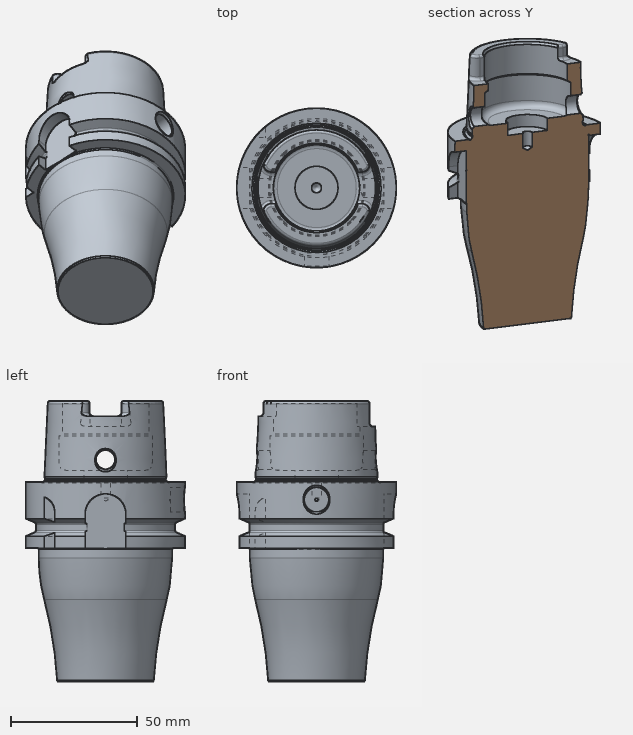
import cadquery as cq
import math


shank_length = 32.0
taper_base_radius = 24.15
taper_top_radius = 22.85
taper_base_z = 2.0
rim_fillet = 1.1

relief_neck_radius = 23.9
relief_neck_top_z = 1.3
relief_neck_bottom_z = 0.75
relief_bottom_radius = 24.8
relief_depth = 0.4
relief_outer_radius = 25.5

flange_radius = 31.5
flange_width = 26.1
groove_top_z = -14.45
groove_width = 6.95
groove_floor_radius = 27.5
groove_flank_angle = 24.0
groove_fillet = 0.8

nose_radius = 26.4
nose_root_fillet = 0.5
nose_straight_end_z = -29.9
nose_bend_radius = 24.25
nose_bend_z = -46.3
nose_tip_radius = 19.15
nose_end_z = -78.9
nose_chamfer_height = 0.7
nose_chamfer_width = 0.4

bore_radius = 17.0
bore_mouth_radius = 17.65
bore_mouth_depth = 1.0
clamp_shoulder_depth = 13.0
clamp_radius = 18.5
clamp_angle = 60.0
bore_depth = 27.3
bore_floor_fillet = 2.9

recess_radius = 8.5
recess_depth = 5.0
centre_hole_radius = 1.95
centre_hole_depth = 6.0
drill_point_angle = 118.0

notch_half_width = 6.26
notch_round_start = 17.95
notch_round_radius = 3.0
notch_depth_left = 6.0
notch_depth_right = 10.1
notch_floor_fillet = 1.4

cross_hole_radius = 3.75
cross_hole_mouth_radius = 4.6
cross_hole_depth = 23.2

keyway_half_width = 8.05
keyway_floor = 26.5
keyway_top_z = -4.7
orientation_floor = 20.2
orientation_wall_y = 20.05
orientation_cutter_radius = 6.2
orientation_centre_z = -11.8

chip_hole_radius = 4.85
chip_hole_mouth_radius = 5.7
chip_hole_z = -7.0
chip_hole_depth = 6.0
chip_dimple_radius = 0.6

clearance = 5.0
keyway_bottom_z = -flange_width - clearance


def revolve_about_z(profile):
    """Turn a closed YZ profile, drawn as (radius, z), a full turn about Z."""
    return profile.close().revolve(360, (0, 0, 0), (0, 1, 0))


def turned_body():
    """Outer shape of the holder, solid."""
    root_mid = nose_root_fillet * (1 - math.sqrt(0.5))
    return revolve_about_z(
        cq.Workplane("YZ")
        .moveTo(0, shank_length)
        .lineTo(taper_top_radius - rim_fillet, shank_length)
        .tangentArcPoint((taper_top_radius, shank_length - rim_fillet), relative=False)
        .lineTo(taper_base_radius, taper_base_z)
        .lineTo(relief_neck_radius, relief_neck_top_z)
        .lineTo(relief_neck_radius, relief_neck_bottom_z)
        .lineTo(relief_bottom_radius, -relief_depth)
        .lineTo(relief_outer_radius, 0)
        .lineTo(flange_radius, 0)
        .lineTo(flange_radius, -flange_width)
        .lineTo(nose_radius + nose_root_fillet, -flange_width)
        .threePointArc(
            (nose_radius + root_mid, -flange_width - root_mid),
            (nose_radius, -flange_width - nose_root_fillet),
        )
        .lineTo(nose_radius, nose_straight_end_z)
        .tangentArcPoint((nose_bend_radius, nose_bend_z), relative=False)
        .tangentArcPoint((nose_tip_radius, nose_end_z + nose_chamfer_height), relative=False)
        .lineTo(nose_tip_radius - nose_chamfer_width, nose_end_z)
        .lineTo(0, nose_end_z)
    )


def gripper_groove():
    """Ring with sloping flanks and rounded floor corners, cut into the flange."""
    flank_height = (flange_radius - groove_floor_radius) * math.tan(math.radians(groove_flank_angle))
    groove_bottom_z = groove_top_z - groove_width
    outer_radius = flange_radius + clearance
    ring = revolve_about_z(
        cq.Workplane("YZ")
        .moveTo(outer_radius, groove_top_z)
        .lineTo(flange_radius, groove_top_z)
        .lineTo(groove_floor_radius, groove_top_z - flank_height)
        .lineTo(groove_floor_radius, groove_bottom_z + flank_height)
        .lineTo(flange_radius, groove_bottom_z)
        .lineTo(outer_radius, groove_bottom_z)
    )
    floor_edges = cq.selectors.RadiusNthSelector(0)
    return ring.edges("%CIRCLE").edges(floor_edges).fillet(groove_fillet)


def notch_cutter(depth):
    """Drive notch on the +X side: flared plan outline with a rounded floor."""
    flare_x = notch_round_start + notch_round_radius
    flare_y = notch_half_width + notch_round_radius
    round_chord = notch_round_radius * math.sqrt(0.5)
    round_mid = (notch_round_start + round_chord, flare_y - round_chord)
    outer_x = flare_x + 2 * clearance
    outer_y = flare_y + clearance
    floor_z = shank_length - depth
    outline = (
        cq.Workplane("XY", origin=(0, 0, floor_z))
        .moveTo(0, -notch_half_width)
        .lineTo(notch_round_start, -notch_half_width)
        .threePointArc((round_mid[0], -round_mid[1]), (flare_x, -flare_y))
        .lineTo(flare_x, -outer_y)
        .lineTo(outer_x, -outer_y)
        .lineTo(outer_x, outer_y)
        .lineTo(flare_x, outer_y)
        .lineTo(flare_x, flare_y)
        .threePointArc(round_mid, (notch_round_start, notch_half_width))
        .lineTo(0, notch_half_width)
        .close()
    )
    wall_side = cq.selectors.BoxSelector(
        (clearance, -outer_y, floor_z - 1), (flare_x + 1, outer_y, floor_z + 1)
    )
    cutter = outline.extrude(depth + clearance)
    return cutter.faces("<Z").edges(wall_side).fillet(notch_floor_fillet)


def notched_envelope():
    """Block around the whole holder with both drive notches, their upper wall edges rounded."""
    side = 3 * flange_radius
    flare = notch_round_start + 2 * notch_round_radius
    block = cq.Workplane("XY", origin=(0, 0, nose_end_z)).rect(side, side).extrude(shank_length - nose_end_z)
    block = block.cut(notch_cutter(notch_depth_right)).cut(opposite(notch_cutter(notch_depth_left)))
    wall_tops = cq.selectors.BoxSelector(
        (-flare, -flange_radius, shank_length - rim_fillet),
        (flare, flange_radius, shank_length + rim_fillet),
    )
    return block.faces(">Z").edges(wall_tops).fillet(rim_fillet)


def clamping_bore():
    """Stepped bore with a clamping shoulder and a rounded floor."""
    clamp_height = (clamp_radius - bore_radius) / math.tan(math.radians(clamp_angle))
    floor_z = shank_length - bore_depth
    shoulder_z = shank_length - clamp_shoulder_depth
    fillet_mid = bore_floor_fillet * (1 - math.sqrt(0.5))
    return revolve_about_z(
        cq.Workplane("YZ")
        .moveTo(0, shank_length)
        .lineTo(bore_mouth_radius, shank_length)
        .lineTo(bore_radius, shank_length - bore_mouth_depth)
        .lineTo(bore_radius, shoulder_z)
        .lineTo(clamp_radius, shoulder_z - clamp_height)
        .lineTo(clamp_radius, floor_z + bore_floor_fillet)
        .threePointArc(
            (clamp_radius - fillet_mid, floor_z + fillet_mid),
            (clamp_radius - bore_floor_fillet, floor_z),
        )
        .lineTo(0, floor_z)
    )


def centre_recess():
    """Round recess in the bore floor with a drilled hole at its centre."""
    top_z = shank_length - bore_depth
    recess_z = top_z - recess_depth
    hole_z = recess_z - centre_hole_depth
    point_height = centre_hole_radius / math.tan(math.radians(drill_point_angle / 2))
    return revolve_about_z(
        cq.Workplane("YZ")
        .moveTo(0, top_z)
        .lineTo(recess_radius, top_z)
        .lineTo(recess_radius, recess_z)
        .lineTo(centre_hole_radius, recess_z)
        .lineTo(centre_hole_radius, hole_z)
        .lineTo(0, hole_z - point_height)
    )


def cone_mouth(surface_radius, hole_radius, mouth_radius):
    """45 degree countersink along +X that opens to mouth_radius at surface_radius."""
    extra = mouth_radius - hole_radius
    cone = cq.Solid.makeCone(
        hole_radius,
        mouth_radius + extra,
        2 * extra,
        pnt=cq.Vector(surface_radius - extra, 0, 0),
        dir=cq.Vector(1, 0, 0),
    )
    return cq.Workplane(obj=cone)


def cross_holes():
    """Hole through both shank walls along X, countersunk on the outside."""
    z = shank_length - cross_hole_depth
    taper_rise = (z - taper_base_z) / (shank_length - taper_base_z)
    shank_radius = taper_base_radius + (taper_top_radius - taper_base_radius) * taper_rise
    hole = cq.Workplane("YZ").circle(cross_hole_radius).extrude(flange_radius, both=True)
    mouth = cone_mouth(shank_radius, cross_hole_radius, cross_hole_mouth_radius)
    return hole.union(mouth).union(opposite(mouth)).translate((0, 0, z))


def keyway_cutter():
    """Keyway on the +X side: flat floor, round top end, open below the flange."""
    centre_z = keyway_top_z - keyway_half_width
    return (
        cq.Workplane("YZ", origin=(keyway_floor, 0, 0))
        .moveTo(-keyway_half_width, keyway_bottom_z)
        .lineTo(-keyway_half_width, centre_z)
        .threePointArc((0, keyway_top_z), (keyway_half_width, centre_z))
        .lineTo(keyway_half_width, keyway_bottom_z)
        .close()
        .extrude(flange_radius)
    )


def orientation_cutter():
    """Corner notch between -X and +Y: flat floor, round top end, open below the flange."""
    start_y = orientation_wall_y
    end_y = orientation_wall_y + 2 * orientation_cutter_radius
    mid = (orientation_wall_y + orientation_cutter_radius, orientation_centre_z + orientation_cutter_radius)
    return (
        cq.Workplane("YZ", origin=(-orientation_floor, 0, 0))
        .moveTo(start_y, keyway_bottom_z)
        .lineTo(start_y, orientation_centre_z)
        .threePointArc(mid, (end_y, orientation_centre_z))
        .lineTo(end_y, keyway_bottom_z)
        .close()
        .extrude(-flange_radius)
    )


def chip_hole():
    """Blind data chip hole on the -Y side with a countersunk mouth and a small drill dimple."""
    floor_x = flange_radius - chip_hole_depth
    hole = cq.Workplane("YZ", origin=(floor_x, 0, 0)).circle(chip_hole_radius).extrude(2 * chip_hole_depth)
    dimple_depth = chip_dimple_radius / math.tan(math.radians(drill_point_angle / 2))
    dimple = cq.Workplane(
        obj=cq.Solid.makeCone(
            0,
            chip_dimple_radius,
            dimple_depth,
            pnt=cq.Vector(floor_x - dimple_depth, 0, 0),
            dir=cq.Vector(1, 0, 0),
        )
    )
    mouth = cone_mouth(flange_radius, chip_hole_radius, chip_hole_mouth_radius)
    cutter = hole.union(dimple).union(mouth)
    return cutter.rotate((0, 0, 0), (0, 0, 1), -90).translate((0, 0, chip_hole_z))


def opposite(cutter):
    """The same cutter turned to the -X side."""
    return cutter.rotate((0, 0, 0), (0, 0, 1), 180)


result = turned_body().cut(keyway_cutter()).cut(opposite(keyway_cutter()))
result = result.cut(gripper_groove()).intersect(notched_envelope())
result = result.cut(clamping_bore()).cut(centre_recess()).cut(cross_holes())
result = result.cut(orientation_cutter()).cut(chip_hole())